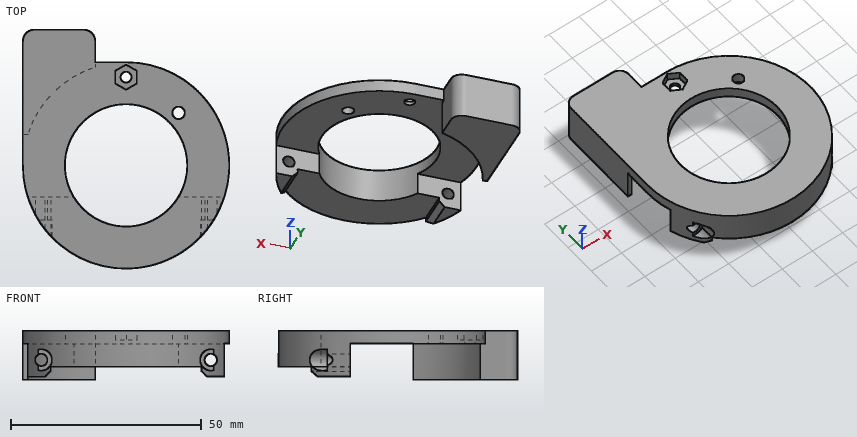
import cadquery as cq
import math

disc_radius = 27.05
plate_thickness = 3.4
bore_radius = 16.0

tab_width = 19.0
tab_end_y = 35.55
tab_corner_radius = 3.0
tab_depth = 12.9
tab_front_y = 8.2
tab_left_x = -disc_radius
tab_right_x = tab_left_x + tab_width

segment_back_y = -8.25
segment_depth = 9.5

lug_inner_x = 19.75
lug_depth = 12.1
lug_chamfer = 1.5
screw_x = 22.2
screw_z = -7.7
screw_radius = 1.6
screw_head_radius = 2.8
screw_head_seat_y = -14.25

nut_hole_y = 23.1
nut_hole_radius = 1.4
nut_across_flats = 5.7
nut_pocket_depth = 2.4
hexagon_corner_turn = 30
plain_hole_offset = 13.75
plain_hole_radius = 1.6


def disc(depth):
    return cq.Workplane("XY").circle(disc_radius).extrude(-depth)


def tab_block(depth):
    """Tab footprint with rounded back corners, reaching forward to the X axis."""
    return (
        cq.Workplane("XY")
        .moveTo(tab_left_x, 0)
        .lineTo(tab_right_x, 0)
        .lineTo(tab_right_x, tab_end_y)
        .lineTo(tab_left_x, tab_end_y)
        .close()
        .extrude(-depth)
        .edges("|Z and >Y")
        .fillet(tab_corner_radius)
    )


def front_half_space(depth):
    """Box covering everything in front of the segment's back face."""
    return cq.Workplane("XY").box(
        2 * disc_radius, disc_radius + segment_back_y, depth, centered=(True, False, False)
    ).translate((0, -disc_radius, -depth))


def plate():
    """Disc and tab, joined by a square fill up to the back tangent of the disc."""
    corner_fill = (
        cq.Workplane("XY")
        .rect(-disc_radius, disc_radius, centered=False)
        .extrude(-plate_thickness)
    )
    return disc(plate_thickness).union(corner_fill).union(tab_block(plate_thickness))


def tab_wall():
    """Deep part of the tab: what lies outside the disc, behind the side opening."""
    opening = cq.Workplane("XY").rect(2 * disc_radius, 2 * tab_front_y).extrude(-tab_depth)
    return tab_block(tab_depth).cut(disc(tab_depth)).cut(opening)


def front_segment():
    return disc(segment_depth).intersect(front_half_space(segment_depth))


def lug(side):
    """Lug on the right (side = 1) or left (side = -1), following the disc's rim."""
    bar = (
        cq.Workplane("XZ")
        .moveTo(side * lug_inner_x, 0)
        .lineTo(side * lug_inner_x, lug_chamfer - lug_depth)
        .lineTo(side * (lug_inner_x + lug_chamfer), -lug_depth)
        .lineTo(side * disc_radius, -lug_depth)
        .lineTo(side * disc_radius, 0)
        .close()
        .extrude(disc_radius)
    )
    return bar.intersect(disc(lug_depth)).intersect(front_half_space(lug_depth))


def screw_cut(side):
    """Screw hole along Y with a flat-bottomed head recess open to the front."""
    axis = cq.Workplane("XZ", origin=(side * screw_x, segment_back_y, screw_z))
    shank = axis.circle(screw_radius).extrude(disc_radius)
    head = (
        cq.Workplane("XZ", origin=(side * screw_x, screw_head_seat_y, screw_z))
        .circle(screw_head_radius)
        .extrude(disc_radius)
    )
    return shank.union(head)


def nut_cut():
    """Through hole with a hexagonal nut pocket, corners pointing along Y."""
    nut_across_corners = nut_across_flats / math.cos(math.radians(hexagon_corner_turn))
    hole = cq.Workplane("XY").circle(nut_hole_radius).extrude(-plate_thickness)
    pocket = (
        cq.Workplane("XY")
        .polygon(6, nut_across_corners)
        .extrude(-nut_pocket_depth)
        .rotate((0, 0, 0), (0, 0, 1), hexagon_corner_turn)
    )
    return hole.union(pocket).translate((0, nut_hole_y, 0))


def plain_hole_cut():
    return (
        cq.Workplane("XY")
        .center(plain_hole_offset, plain_hole_offset)
        .circle(plain_hole_radius)
        .extrude(-plate_thickness)
    )


def bore_cut():
    return cq.Workplane("XY").circle(bore_radius).extrude(-segment_depth)


body = plate().union(tab_wall()).union(front_segment())
for lug_side in (-1, 1):
    body = body.union(lug(lug_side))
for lug_side in (-1, 1):
    body = body.cut(screw_cut(lug_side))

result = body.cut(bore_cut()).cut(nut_cut()).cut(plain_hole_cut())